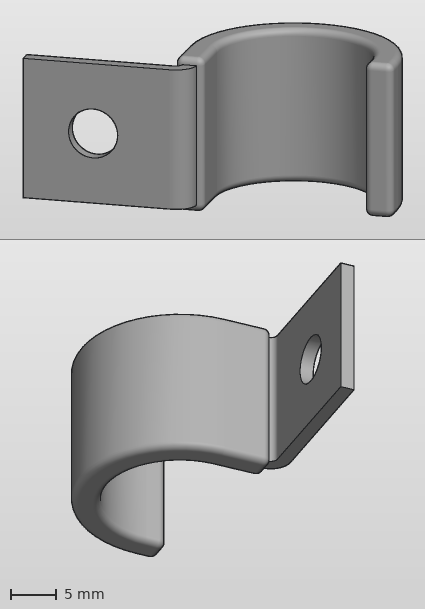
import cadquery as cq

bore_radius = 8.69
strap_thickness = 1.5875
strap_height = 15.875
cushion_overlap = 0.79375
total_length = 40.39
total_depth = 19.77
long_leg = 5.6
short_leg = 2.35
bend_inner_radius = 0.79375
hole_diameter = 5.556
hole_end_distance = 7.9375

cushion_thickness = strap_thickness + 2 * cushion_overlap
cushion_height = strap_height + 2 * cushion_overlap
outer_radius = bore_radius + cushion_thickness
strap_inner_radius = bore_radius + cushion_overlap
strap_outer_radius = strap_inner_radius + strap_thickness
bend_outer_radius = bend_inner_radius + strap_thickness
tab_end_x = outer_radius - total_length
tab_front_y = outer_radius - total_depth
tab_back_y = tab_front_y + strap_thickness
bend_center_x = -strap_inner_radius - bend_outer_radius
bend_center_y = tab_front_y + bend_outer_radius


def make_cushion():
    """J-shaped cushion with every exposed edge rounded."""
    profile = (
        cq.Workplane("XY")
        .workplane(offset=-cushion_height / 2)
        .moveTo(-outer_radius, -long_leg)
        .lineTo(-outer_radius, 0)
        .threePointArc((0, outer_radius), (outer_radius, 0))
        .lineTo(outer_radius, -short_leg)
        .lineTo(bore_radius, -short_leg)
        .lineTo(bore_radius, 0)
        .threePointArc((0, bore_radius), (-bore_radius, 0))
        .lineTo(-bore_radius, -long_leg)
        .close()
    )
    body = profile.extrude(cushion_height)
    return body.faces("|Z or -Y").edges().fillet(cushion_overlap)


def make_tab():
    """Flat mounting tab with a bend that runs up into the long leg."""
    leg_root_y = -long_leg + cushion_thickness
    profile = (
        cq.Workplane("XY")
        .workplane(offset=-strap_height / 2)
        .moveTo(tab_end_x, tab_front_y)
        .lineTo(bend_center_x, tab_front_y)
        .radiusArc((-strap_inner_radius, bend_center_y), -bend_outer_radius)
        .lineTo(-strap_inner_radius, leg_root_y)
        .lineTo(-strap_outer_radius, leg_root_y)
        .lineTo(-strap_outer_radius, bend_center_y)
        .radiusArc((bend_center_x, tab_back_y), bend_inner_radius)
        .lineTo(tab_end_x, tab_back_y)
        .close()
    )
    return profile.extrude(strap_height)


def make_screw_hole():
    """Cutter for the screw hole through the tab along Y."""
    return (
        cq.Workplane("XZ", origin=(tab_end_x + hole_end_distance, tab_back_y, 0))
        .circle(hole_diameter / 2)
        .extrude(strap_thickness)
    )


result = make_cushion().union(make_tab()).cut(make_screw_hole())